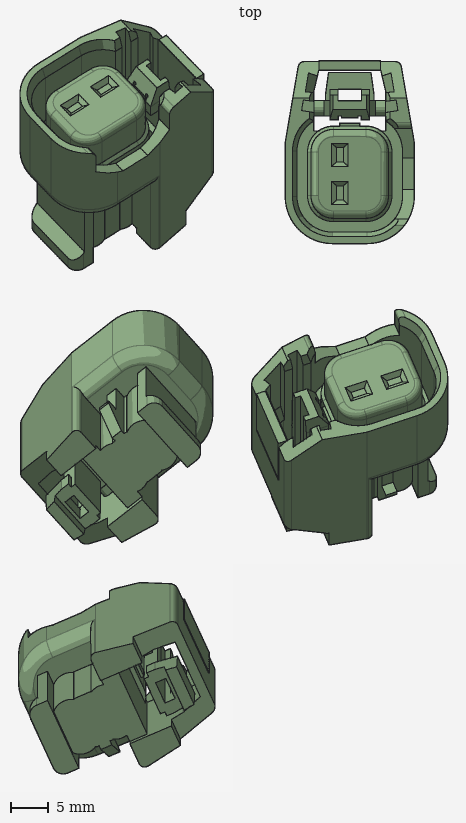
import cadquery as cq

HALF_WIDTH = 8.59
FRONT_Y = -9.28
REAR_Y = 14.93
TOP_Z = 28.5
FRONT_CORNER_RADIUS = 6.3
TAPER_START_Y = 4.14
REAR_HALF_WIDTH = 6.74
REAR_CORNER_RADIUS = 0.9

HOOD_BOTTOM_Z = 14.03
HOOD_BOTTOM_RADIUS = 1.99
PANEL_FRONT_Y = 3.16
PANEL_EDGE_RADIUS = 0.8
TOP_CHAMFER = REAR_Y - 10.1
REAR_SLOPE_TOP_Z = 6.3
NOTCH_TOP_Z = 3.1
NOTCH_Y = 9.2

CAVITY_HALF_WIDTH = 7.0
CAVITY_HALF_LENGTH = 7.73
CAVITY_CORNER_RADIUS = 4.7
CAVITY_FLOOR_Z = 16.3
LEAD_IN_WIDTH = 0.6
LEAD_IN_DEPTH = 1.5
CHAMFER_LAND = 0.01

OPENING_HALF_WIDTH = 4.77
OPENING_FRONT_Y = 5.69
OPENING_STRAIGHT_END_Y = 10.9
OPENING_REAR_HALF_WIDTH = 4.12
BAR_FRONT_Y = 13.7
BAR_HALF_WIDTH = 4.06
BAR_STEP = 0.1
BAR_STEP_Z = 15.0
BAR_TOP_Z = 24.8

WINDOW_HALF_LENGTH = 6.0
WINDOW_FLOOR_HALF_LENGTH = 2.08
WINDOW_SIDE_Z = 24.3
WINDOW_FLOOR_Z = 22.1
WINDOW_LIP_RADIUS = 0.85
WINDOW_INNER_X = 6.0

CORE_HALF_WIDTH = 5.15
CORE_HALF_LENGTH = 5.9
CORE_CORNER_RADIUS = 3.0
CORE_TOP_Z = 26.62
CORE_TOP_RADIUS = 0.97
COLLAR_WIDTH = 0.45
COLLAR_TOP_Z = 21.0
CORE_TAB_HALF_WIDTH = 1.33
CORE_TAB_REAR_Y = 6.75

TERMINAL_X = -1.3
TERMINAL_Y = 2.53
ENTRY_WIDTH = 2.2
ENTRY_LENGTH = 3.06
ENTRY_FLOOR_WIDTH = 0.9
ENTRY_FLOOR_LENGTH = 1.9
ENTRY_DEPTH = 0.57
BARREL_RADIUS = 2.6
BARREL_BOTTOM_Z = 1.07
BARREL_WEB_HALF_WIDTH = 3.65
BARREL_WEB_HALF_LENGTH = 1.25

PLATE_HALF_WIDTH = 5.13
PLATE_REAR_Y = -4.38
PLATE_FRONT_Y = -5.85
FOOT_FRONT_Y = -7.48
FOOT_HEIGHT = 3.6
FOOT_FRONT_HEIGHT = 2.0
FOOT_CORNER_RADIUS = 1.47
RIB_HALF_THICKNESS = 0.8
RIB_X = -5.32
HOOK_X = -6.84
HOOK_TOP_Z = 6.7
HOOK_NOSE_Z = 6.0
HOOK_RAMP_X = -4.22

LEVER_TOP_Z = 25.1
BEAM_FRONT_Y = 8.56
BEAM_REAR_Y = 9.72
BEAM_TOP_HALF_WIDTH = 2.25
ARM_GAP_HALF_WIDTH = 1.53
ARM_REAR_Y = 10.5
ARM_BASE_REAR_Y = 11.2
ARM_BASE_TOP_Z = 4.05
HEAD_HALF_WIDTH = 2.65
HEAD_FRONT_Y = 7.18
HEAD_SLOPE_Z = 22.5
HEAD_BOTTOM_Z = 20.5
HEAD_GROOVE_OUTER_X = 1.5
HEAD_GROOVE_INNER_X = 1.1
HEAD_GROOVE_REAR_Y = 7.65
HEAD_MIDDLE_FRONT_Y = 7.42
PAD_TOP_Z = 3.4
PAD_REAR_Y = 13.48
PAD_STRAIGHT_END_Y = 10.4
PAD_REAR_HALF_WIDTH = 2.83
PAD_HALF_WIDTH = 3.25
PAD_FOOT_DEPTH = 1.7
PAD_FOOT_FRONT_Y = 11.65
PAD_FOOT_FRONT_DRAFT = 0.18
PAD_FOOT_REAR_DRAFT = 0.11
PIVOT_Y = 8.71
PIVOT_Z = 12.0
PIVOT_RADIUS = 1.06
PIVOT_EMBED = 0.3
PIVOT_HALF_LENGTH = OPENING_HALF_WIDTH + PIVOT_EMBED
HUB_HALF_WIDTH = 3.4
HUB_TOP_Z = 16.0

REAR_GROOVE_POINTS = [(4.0, 12.9), (5.48, 13.4), (5.9, 10.9), (4.0, 10.7)]
PIVOT_GROOVE_POINTS = [(4.5, 9.6), (6.16, 9.8), (6.4, 8.4), (4.5, 8.1)]
GROOVE_BOTTOM_Z = PIVOT_Z + PIVOT_RADIUS
REAR_GROOVE_FLOOR_RISE = 3.0
REAR_GROOVE_OUTER_X = 6.0


def block(x_range, y_range, z_range):
    """Axis-aligned box from its (low, high) limits."""
    size = [high - low for low, high in (x_range, y_range, z_range)]
    corner = (x_range[0], y_range[0], z_range[0])
    return cq.Workplane("XY").box(*size, centered=False).translate(corner)


def centred_block(half_width, y_range, z_range):
    return block((-half_width, half_width), y_range, z_range)


def rounded_prism(half_width, half_length, radius, bottom, top):
    prism = centred_block(half_width, (-half_length, half_length), (bottom, top))
    return prism.edges("|Z").fillet(radius)


def side_profile(points, x_start, x_end):
    """Prism along X from a (Y, Z) outline."""
    return cq.Workplane("YZ", origin=(x_start, 0, 0)).polyline(points).close().extrude(x_end - x_start)


def both_sides(shape):
    return shape.union(shape.mirror("YZ"))


def housing_prism(bottom, top):
    """Plan outline of the housing: round front, straight sides, tapered rear."""
    outline = [
        (-HALF_WIDTH, FRONT_Y),
        (HALF_WIDTH, FRONT_Y),
        (HALF_WIDTH, TAPER_START_Y),
        (REAR_HALF_WIDTH, REAR_Y),
        (-REAR_HALF_WIDTH, REAR_Y),
        (-HALF_WIDTH, TAPER_START_Y),
    ]
    prism = cq.Workplane("XY", origin=(0, 0, bottom)).polyline(outline).close().extrude(top - bottom)
    prism = prism.edges("|Z and <Y").fillet(FRONT_CORNER_RADIUS)
    return prism.edges("|Z and >Y").fillet(REAR_CORNER_RADIUS)


def make_shell():
    hood = housing_prism(HOOD_BOTTOM_Z, TOP_Z).faces("<Z").edges().fillet(HOOD_BOTTOM_RADIUS)
    behind_hood = centred_block(HALF_WIDTH, (PANEL_FRONT_Y, REAR_Y), (0, TOP_Z))
    panels = housing_prism(0, TOP_Z).intersect(behind_hood)
    panels = panels.edges("|Z and <Y").fillet(PANEL_EDGE_RADIUS)
    shell = hood.union(panels)

    top_corner = [(REAR_Y - TOP_CHAMFER, TOP_Z), (REAR_Y, TOP_Z), (REAR_Y, TOP_Z - TOP_CHAMFER)]
    bottom_corner = [(REAR_Y, REAR_SLOPE_TOP_Z), (NOTCH_Y, NOTCH_TOP_Z), (NOTCH_Y, 0), (REAR_Y, 0)]
    for corner in (top_corner, bottom_corner):
        shell = shell.cut(side_profile(corner, -HALF_WIDTH, HALF_WIDTH))
    return shell


def make_cavity():
    cavity = rounded_prism(
        CAVITY_HALF_WIDTH, CAVITY_HALF_LENGTH, CAVITY_CORNER_RADIUS, CAVITY_FLOOR_Z, TOP_Z
    )
    lead_in = rounded_prism(
        CAVITY_HALF_WIDTH + LEAD_IN_WIDTH,
        CAVITY_HALF_LENGTH + LEAD_IN_WIDTH,
        CAVITY_CORNER_RADIUS + LEAD_IN_WIDTH,
        TOP_Z - LEAD_IN_DEPTH,
        TOP_Z,
    )
    lead_in = lead_in.faces("<Z").edges().chamfer(LEAD_IN_DEPTH - CHAMFER_LAND, LEAD_IN_WIDTH)
    return cavity.union(lead_in)


def make_window():
    """Cut with upright sides, sloping shoulders and a flat floor; its top edges flare out."""
    outline = (
        cq.Workplane("YZ", origin=(WINDOW_INNER_X, 0, 0))
        .moveTo(-WINDOW_FLOOR_HALF_LENGTH, WINDOW_FLOOR_Z)
        .lineTo(WINDOW_FLOOR_HALF_LENGTH, WINDOW_FLOOR_Z)
        .lineTo(WINDOW_HALF_LENGTH, WINDOW_SIDE_Z)
        .lineTo(WINDOW_HALF_LENGTH, TOP_Z - WINDOW_LIP_RADIUS)
        .radiusArc((WINDOW_HALF_LENGTH + WINDOW_LIP_RADIUS, TOP_Z), WINDOW_LIP_RADIUS)
        .lineTo(-WINDOW_HALF_LENGTH - WINDOW_LIP_RADIUS, TOP_Z)
        .radiusArc((-WINDOW_HALF_LENGTH, TOP_Z - WINDOW_LIP_RADIUS), WINDOW_LIP_RADIUS)
        .lineTo(-WINDOW_HALF_LENGTH, WINDOW_SIDE_Z)
        .close()
    )
    return outline.extrude(HALF_WIDTH - WINDOW_INNER_X)


def make_opening():
    """Through opening that narrows towards the bar; slanted top edges, raised bottom at its front."""
    right_side = [
        (0, OPENING_FRONT_Y),
        (OPENING_HALF_WIDTH, OPENING_FRONT_Y),
        (OPENING_HALF_WIDTH, OPENING_STRAIGHT_END_Y),
        (OPENING_REAR_HALF_WIDTH, BAR_FRONT_Y),
        (0, BAR_FRONT_Y),
    ]
    lead_in = [
        (0, TOP_Z - LEAD_IN_DEPTH),
        (OPENING_HALF_WIDTH, TOP_Z - LEAD_IN_DEPTH),
        (OPENING_HALF_WIDTH + LEAD_IN_WIDTH, TOP_Z),
        (0, TOP_Z),
    ]
    opening = cq.Workplane("XY").polyline(right_side).close().extrude(TOP_Z)
    slant = cq.Workplane("XZ", origin=(0, OPENING_STRAIGHT_END_Y, 0)).polyline(lead_in).close()
    opening = opening.union(slant.extrude(OPENING_STRAIGHT_END_Y - OPENING_FRONT_Y))
    raised_bottom = centred_block(OPENING_HALF_WIDTH, (PANEL_FRONT_Y, OPENING_FRONT_Y), (0, BARREL_BOTTOM_Z))
    return both_sides(opening).union(raised_bottom)


def groove_prism(points):
    base = cq.Workplane("XY", origin=(0, 0, GROOVE_BOTTOM_Z))
    return base.polyline(points).close().extrude(TOP_Z - GROOVE_BOTTOM_Z)


def make_wall_grooves():
    """Lever pivot grooves with flat floors, and rear grooves whose floors slope down to the opening."""
    floor = [
        (OPENING_REAR_HALF_WIDTH, GROOVE_BOTTOM_Z),
        (REAR_GROOVE_OUTER_X, GROOVE_BOTTOM_Z),
        (REAR_GROOVE_OUTER_X, GROOVE_BOTTOM_Z + REAR_GROOVE_FLOOR_RISE),
    ]
    wedge = cq.Workplane("XZ", origin=(0, REAR_Y, 0)).polyline(floor).close()
    rear_groove = groove_prism(REAR_GROOVE_POINTS).cut(wedge.extrude(REAR_Y))
    return both_sides(rear_groove.union(groove_prism(PIVOT_GROOVE_POINTS)))


def make_rear_bar():
    """Upper part of the bar, standing slightly proud of the rear face."""
    y_range = (BAR_FRONT_Y, REAR_Y + BAR_STEP)
    return centred_block(BAR_HALF_WIDTH, y_range, (BAR_STEP_Z, BAR_TOP_Z))


def make_entry(y):
    entry = cq.Workplane("XY", origin=(TERMINAL_X, y, CORE_TOP_Z)).rect(ENTRY_WIDTH, ENTRY_LENGTH)
    entry = entry.workplane(offset=-ENTRY_DEPTH).rect(ENTRY_FLOOR_WIDTH, ENTRY_FLOOR_LENGTH)
    return entry.loft(combine=True)


def make_core():
    core = rounded_prism(CORE_HALF_WIDTH, CORE_HALF_LENGTH, CORE_CORNER_RADIUS, HOOD_BOTTOM_Z, CORE_TOP_Z)
    core = core.faces(">Z").edges().fillet(CORE_TOP_RADIUS)
    collar = rounded_prism(
        CORE_HALF_WIDTH + COLLAR_WIDTH,
        CORE_HALF_LENGTH + COLLAR_WIDTH,
        CORE_CORNER_RADIUS + COLLAR_WIDTH,
        HOOD_BOTTOM_Z,
        COLLAR_TOP_Z,
    )
    collar = collar.faces(">Z").edges().chamfer(COLLAR_WIDTH - CHAMFER_LAND)
    tab_z = (CAVITY_FLOOR_Z, COLLAR_TOP_Z - COLLAR_WIDTH)
    tab = centred_block(CORE_TAB_HALF_WIDTH, (0, CORE_TAB_REAR_Y), tab_z)
    core = core.union(collar).union(tab)
    for y in (-TERMINAL_Y, TERMINAL_Y):
        core = core.cut(make_entry(y))
    return core


def make_barrels():
    z_range = (BARREL_BOTTOM_Z, CAVITY_FLOOR_Z)
    web_length = (PLATE_REAR_Y, PANEL_FRONT_Y)
    barrels = centred_block(-TERMINAL_X, web_length, z_range)
    for x in (TERMINAL_X, -TERMINAL_X):
        for y in (-TERMINAL_Y, TERMINAL_Y):
            base = cq.Workplane("XY", origin=(x, y, BARREL_BOTTOM_Z))
            barrels = barrels.union(base.circle(BARREL_RADIUS).extrude(z_range[1] - z_range[0]))
    web = (-BARREL_WEB_HALF_LENGTH, BARREL_WEB_HALF_LENGTH)
    return barrels.union(centred_block(BARREL_WEB_HALF_WIDTH, web, z_range))


def make_hooked_rib():
    outline = [
        (0, BARREL_BOTTOM_Z),
        (HOOK_RAMP_X, BARREL_BOTTOM_Z),
        (HOOK_X, HOOK_NOSE_Z),
        (HOOK_X, HOOK_TOP_Z),
        (RIB_X, HOOK_TOP_Z),
        (RIB_X, CAVITY_FLOOR_Z),
        (0, CAVITY_FLOOR_Z),
    ]
    rib = cq.Workplane("XZ").polyline(outline).close()
    return rib.extrude(RIB_HALF_THICKNESS, both=True)


def make_front_plate():
    plate = centred_block(PLATE_HALF_WIDTH, (PLATE_FRONT_Y, PLATE_REAR_Y), (0, CAVITY_FLOOR_Z))
    foot = centred_block(PLATE_HALF_WIDTH, (FOOT_FRONT_Y, PLATE_REAR_Y), (0, FOOT_HEIGHT))
    foot = foot.edges("|Z and <Y").fillet(FOOT_CORNER_RADIUS)
    slope = [(FOOT_FRONT_Y, FOOT_FRONT_HEIGHT), (PLATE_FRONT_Y, FOOT_HEIGHT), (FOOT_FRONT_Y, FOOT_HEIGHT)]
    foot = foot.cut(side_profile(slope, -PLATE_HALF_WIDTH, PLATE_HALF_WIDTH))
    return plate.union(foot)


def make_thumb_pad():
    outline = [
        (-PAD_HALF_WIDTH, NOTCH_Y),
        (PAD_HALF_WIDTH, NOTCH_Y),
        (PAD_HALF_WIDTH, PAD_STRAIGHT_END_Y),
        (PAD_REAR_HALF_WIDTH, PAD_REAR_Y),
        (-PAD_REAR_HALF_WIDTH, PAD_REAR_Y),
        (-PAD_HALF_WIDTH, PAD_STRAIGHT_END_Y),
    ]
    pad = cq.Workplane("XY", origin=(0, 0, -PAD_FOOT_DEPTH)).polyline(outline).close()
    pad = pad.extrude(PAD_FOOT_DEPTH + PAD_TOP_Z)
    profile = [
        (NOTCH_Y, 0),
        (PAD_FOOT_FRONT_Y, 0),
        (PAD_FOOT_FRONT_Y + PAD_FOOT_FRONT_DRAFT, -PAD_FOOT_DEPTH),
        (PAD_REAR_Y - PAD_FOOT_REAR_DRAFT, -PAD_FOOT_DEPTH),
        (PAD_REAR_Y, PAD_TOP_Z),
        (NOTCH_Y, PAD_TOP_Z),
    ]
    return pad.intersect(side_profile(profile, -PAD_HALF_WIDTH, PAD_HALF_WIDTH))


def make_beam():
    """Upright U-section beam whose sides narrow to the top."""
    right_side = [
        (0, 0),
        (HEAD_HALF_WIDTH, 0),
        (HEAD_HALF_WIDTH, HEAD_SLOPE_Z),
        (BEAM_TOP_HALF_WIDTH, LEVER_TOP_Z),
        (0, LEVER_TOP_Z),
    ]
    beam = cq.Workplane("XZ", origin=(0, ARM_REAR_Y, 0)).polyline(right_side).close()
    return both_sides(beam.extrude(ARM_REAR_Y - BEAM_FRONT_Y))


def make_head():
    """Nose at the top of the beam: sloped front and two upright grooves beside a shorter middle."""
    profile = [
        (BEAM_FRONT_Y, LEVER_TOP_Z),
        (HEAD_FRONT_Y, HEAD_SLOPE_Z),
        (HEAD_FRONT_Y, HEAD_BOTTOM_Z),
        (BEAM_FRONT_Y, HEAD_BOTTOM_Z),
    ]
    head = side_profile(profile, -HEAD_HALF_WIDTH, HEAD_HALF_WIDTH)
    corner = [
        (BEAM_TOP_HALF_WIDTH, LEVER_TOP_Z),
        (HEAD_HALF_WIDTH, LEVER_TOP_Z),
        (HEAD_HALF_WIDTH, HEAD_SLOPE_Z),
    ]
    corner_cut = cq.Workplane("XZ", origin=(0, BEAM_FRONT_Y, 0)).polyline(corner).close()
    head = head.cut(both_sides(corner_cut.extrude(BEAM_FRONT_Y - HEAD_FRONT_Y)))
    z_range = (HEAD_BOTTOM_Z, LEVER_TOP_Z)
    middle = centred_block(HEAD_GROOVE_INNER_X, (HEAD_MIDDLE_FRONT_Y, BEAM_FRONT_Y), z_range)
    middle = middle.intersect(head)
    grooves = centred_block(HEAD_GROOVE_OUTER_X, (HEAD_FRONT_Y, HEAD_GROOVE_REAR_Y), z_range)
    return head.cut(grooves).union(middle)


def make_pivot():
    """Cross bar joining the lever to both side walls, with a hub that narrows upwards."""
    pivot = cq.Workplane("YZ").center(PIVOT_Y, PIVOT_Z).circle(PIVOT_RADIUS)
    pivot = pivot.extrude(PIVOT_HALF_LENGTH, both=True)
    right_side = [
        (0, PIVOT_Z - PIVOT_RADIUS),
        (HUB_HALF_WIDTH, PIVOT_Z - PIVOT_RADIUS),
        (HUB_HALF_WIDTH, PIVOT_Z + PIVOT_RADIUS),
        (HEAD_HALF_WIDTH, HUB_TOP_Z),
        (0, HUB_TOP_Z),
    ]
    hub = cq.Workplane("XZ", origin=(0, PIVOT_Y + PIVOT_RADIUS, 0)).polyline(right_side).close()
    return pivot.union(both_sides(hub.extrude(2 * PIVOT_RADIUS)))


def make_lever():
    arm_base = centred_block(HEAD_HALF_WIDTH, (BEAM_FRONT_Y, ARM_BASE_REAR_Y), (0, ARM_BASE_TOP_Z))
    window = centred_block(ARM_GAP_HALF_WIDTH, (BEAM_REAR_Y, ARM_BASE_REAR_Y), (0, LEVER_TOP_Z))
    lever = make_thumb_pad()
    for part in (make_beam(), arm_base, make_head(), make_pivot()):
        lever = lever.union(part)
    return lever.cut(window)


shell = make_shell()
for cut in (make_cavity(), make_opening(), make_window(), make_wall_grooves()):
    shell = shell.cut(cut)

result = shell
parts = (
    make_rear_bar(),
    make_core(),
    make_barrels(),
    make_hooked_rib(),
    make_front_plate(),
    make_lever(),
)
for part in parts:
    result = result.union(part)